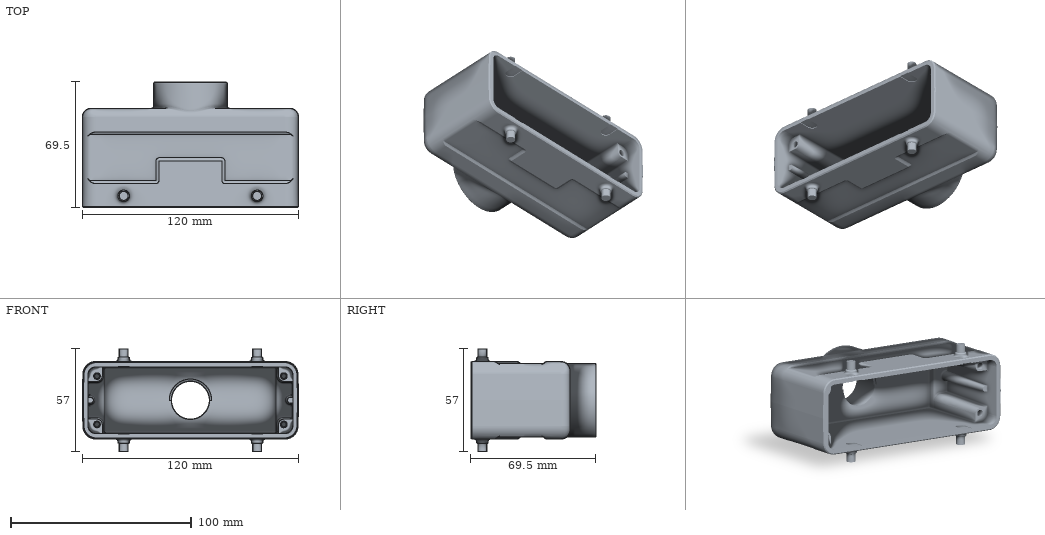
import cadquery as cq
import math

LENGTH = 120.0
HEIGHT = 43.0
DEPTH = 55.0
END_CROWN = 0.5
CORNER_RADIUS = 7.3
BACK_RADIUS = 5.0
MOUTH_CHAMFER = 0.6
WALL = 3.0

CAVITY_LENGTH = 113.7
CAVITY_HEIGHT = HEIGHT - 2 * WALL
CAVITY_DEPTH = DEPTH - WALL
CAVITY_RADIUS = 4.5
CAVITY_DRAFT = 0.5
FLOOR_RADIUS = 0.9

LEDGE_X = 47.9
LEDGE_HEIGHT = 4.0
LEDGE_Y = CAVITY_DEPTH - LEDGE_HEIGHT
LEDGE_RUN = 0.6
LEDGE_EDGE_RADIUS = 1.1
LEDGE_ROOT_RADIUS = 0.8

POST_FRONT = 9.0
POST_X = 51.8
POST_Z = 13.4
POST_RADIUS = 2.9
POST_ROOT_RADIUS = 0.9
POST_DRAFT = 1.5
SCREW_MOUTH_DIAMETER = 3.7
SCREW_BOTTOM_DIAMETER = 2.7
SCREW_HOLE_DEPTH = 15.0
RIB_FRONT = POST_FRONT
RIB_RADIUS = 1.6
RIB_X = 55.4

ENTRY_DIAMETER = 41.0
ENTRY_END = 69.5
ENTRY_EDGE_RADIUS = 1.0
ENTRY_ROOT_RADIUS = 1.0
BORE_DIAMETER = 21.0
RECESS_DIAMETER = 23.5
RECESS_DEPTH = 1.0

PIN_SPAN = 57.0
PIN_X = 37.0
PIN_Y = 6.4
PIN_DIAMETER = 5.0
COLLAR_DIAMETER = 6.4
COLLAR_HEIGHT = 2.4
FLARE_RADIUS = 1.4
PIN_ROOT = 1.0
RELIEF_WIDTH = 5.8
RELIEF_DEPTH = 0.3

PANEL_DEPTH = 1.0
PANEL_FRONT = 14.9
PANEL_BACK = 40.4
PANEL_BACK_RUN = 1.4
PANEL_SLOPE = 60.0
TAB_HALF_WIDTH = 19.1
TAB_END = 27.6
TAB_TIP_RADIUS = 2.0
TAB_FOOT_RADIUS = 0.3
PANEL_END_RADIUS = 2.7

OVERCUT = 2.0
PICK = 1.0
FINE_PICK = 0.1


def section_plane(y):
    """Workplane at depth y, extruding toward +Y, with local axes along X and -Z."""
    return cq.Workplane(cq.Plane(origin=(0, y, 0), xDir=(1, 0, 0), normal=(0, 1, 0)))


def near(x, y, z):
    return cq.selectors.NearestToPointSelector((x, y, z))


def both_ends(body):
    return body.union(body.mirror("YZ"))


def both_sides(body):
    return body.union(body.mirror("XY"))


def make_shell():
    ridge = LENGTH / 2
    corner = ridge - END_CROWN
    side = HEIGHT / 2
    outline = [(ridge, 0), (corner, side), (-corner, side), (-ridge, 0), (-corner, -side), (corner, -side)]
    shell = section_plane(0).polyline(outline).close().extrude(DEPTH)
    shell = shell.faces(">Z or <Z").edges("|Y").fillet(CORNER_RADIUS)
    shell = shell.faces(">Y").edges().fillet(BACK_RADIUS)
    return shell.faces("<Y").edges().chamfer(MOUTH_CHAMFER)


def add_entry(shell):
    entry = section_plane(CAVITY_DEPTH).circle(ENTRY_DIAMETER / 2).extrude(ENTRY_END - CAVITY_DEPTH)
    hood = shell.union(entry)
    reach = ENTRY_DIAMETER / 2 + PICK
    root = cq.selectors.BoxSelector((-reach, DEPTH - BACK_RADIUS, -reach), (reach, DEPTH + PICK, reach))
    hood = hood.edges(root).edges("not(|X)").fillet(ENTRY_ROOT_RADIUS)
    return hood.faces(">Y").edges().fillet(ENTRY_EDGE_RADIUS)


def make_ledge():
    """Ledge at the +X end, its inner side sloping to the cavity floor."""
    profile = [
        (LEDGE_X, LEDGE_Y),
        (LENGTH / 2, LEDGE_Y),
        (LENGTH / 2, DEPTH),
        (LEDGE_X - LEDGE_RUN * (DEPTH - LEDGE_Y) / LEDGE_HEIGHT, DEPTH),
    ]
    ledge = cq.Workplane("XY").polyline(profile).close().extrude(HEIGHT / 2, both=True)
    return ledge.edges(near(LEDGE_X, LEDGE_Y, 0)).fillet(LEDGE_EDGE_RADIUS)


def make_posts():
    """Pair of posts at the +X end, each with one rounded free corner."""
    inner_x = POST_X - POST_RADIUS
    inner_z = POST_Z - POST_RADIUS
    middle = POST_RADIUS * math.sqrt(0.5)
    post = (
        section_plane(POST_FRONT)
        .moveTo(inner_x, HEIGHT / 2)
        .lineTo(inner_x, POST_Z)
        .threePointArc((POST_X - middle, POST_Z - middle), (POST_X, inner_z))
        .lineTo(LENGTH / 2, inner_z)
        .lineTo(LENGTH / 2, HEIGHT / 2)
        .close()
        .extrude(DEPTH - POST_FRONT, taper=-POST_DRAFT)
    )
    return both_sides(post)


def make_rib():
    """Rib on the +X end wall, with a rounded inner edge."""
    return (
        section_plane(RIB_FRONT)
        .moveTo(LENGTH / 2, RIB_RADIUS)
        .lineTo(RIB_X, RIB_RADIUS)
        .threePointArc((RIB_X - RIB_RADIUS, 0), (RIB_X, -RIB_RADIUS))
        .lineTo(LENGTH / 2, -RIB_RADIUS)
        .close()
        .extrude(DEPTH - RIB_FRONT, taper=-POST_DRAFT)
    )


def round_post_roots(cavity):
    """Fillets where the posts meet the long walls and the end walls."""
    middle_y = (POST_FRONT + LEDGE_Y) / 2
    for end in (1, -1):
        for side in (1, -1):
            long_wall_root = near(end * (POST_X - POST_RADIUS), middle_y, side * CAVITY_HEIGHT / 2)
            end_wall_root = near(end * CAVITY_LENGTH / 2, middle_y, side * (POST_Z - POST_RADIUS))
            roots = cq.selectors.SumSelector(long_wall_root, end_wall_root)
            cavity = cavity.edges(roots).fillet(POST_ROOT_RADIUS)
    return cavity


def round_ledge_roots(cavity):
    """Fillets around each ledge, where posts, rib and end wall rise from it."""
    for end in (1, -1):
        inner = end * (LEDGE_X + LEDGE_EDGE_RADIUS)
        outer = end * LENGTH / 2
        roots = cq.selectors.BoxSelector(
            (inner, LEDGE_Y - FINE_PICK, -HEIGHT), (outer, LEDGE_Y + FINE_PICK, HEIGHT)
        )
        cavity = cavity.edges(roots).fillet(LEDGE_ROOT_RADIUS)
    return cavity


def make_cavity():
    """Hollow of the hood, with the ledges, posts and ribs left standing."""
    section = cq.Sketch().rect(CAVITY_LENGTH, CAVITY_HEIGHT).vertices().fillet(CAVITY_RADIUS)
    cavity = section_plane(0).placeSketch(section).extrude(CAVITY_DEPTH, taper=CAVITY_DRAFT)
    for standing in (make_ledge(), make_posts(), make_rib()):
        cavity = cavity.cut(both_ends(standing))
    cavity = round_ledge_roots(round_post_roots(cavity))
    return cavity.faces(near(0, CAVITY_DEPTH, 0)).edges().fillet(FLOOR_RADIUS)


def cut_screw_holes(hood):
    """Blind tapered hole in each post."""
    profile = [
        (0, 0),
        (SCREW_MOUTH_DIAMETER / 2, 0),
        (SCREW_BOTTOM_DIAMETER / 2, SCREW_HOLE_DEPTH),
        (0, SCREW_HOLE_DEPTH),
    ]
    hole = cq.Workplane("XY").polyline(profile).close().revolve(360, (0, 0), (0, 1))
    hole = hole.translate((POST_X, POST_FRONT, POST_Z))
    return hood.cut(both_sides(both_ends(hole)))


def cut_bore(hood):
    """Round bore through the back, with a half-round recess above it in the cavity floor."""
    bore = section_plane(0).circle(BORE_DIAMETER / 2).extrude(ENTRY_END + OVERCUT)
    radius = RECESS_DIAMETER / 2
    recess = (
        section_plane(CAVITY_DEPTH - OVERCUT)
        .moveTo(-radius, 0)
        .threePointArc((0, -radius), (radius, 0))
        .close()
        .extrude(OVERCUT + RECESS_DEPTH)
    )
    return hood.cut(bore).cut(recess)


def make_pins():
    """Four pins, each with a rounded collar flaring into the side wall."""
    pin_radius = PIN_DIAMETER / 2
    collar_radius = COLLAR_DIAMETER / 2
    round_radius = collar_radius - pin_radius
    flare_middle = FLARE_RADIUS * (1 - math.sqrt(0.5))
    round_middle = round_radius * math.sqrt(0.5)
    surface = HEIGHT / 2
    round_start = surface + COLLAR_HEIGHT - round_radius
    pin = (
        cq.Workplane("XZ")
        .moveTo(0, surface - PIN_ROOT)
        .lineTo(collar_radius + FLARE_RADIUS, surface - PIN_ROOT)
        .lineTo(collar_radius + FLARE_RADIUS, surface)
        .threePointArc(
            (collar_radius + flare_middle, surface + flare_middle),
            (collar_radius, surface + FLARE_RADIUS),
        )
        .lineTo(collar_radius, round_start)
        .threePointArc(
            (pin_radius + round_middle, round_start + round_middle),
            (pin_radius, surface + COLLAR_HEIGHT),
        )
        .lineTo(pin_radius, PIN_SPAN / 2)
        .lineTo(0, PIN_SPAN / 2)
        .close()
        .revolve(360, (0, 0), (0, 1))
        .translate((PIN_X, PIN_Y, 0))
    )
    return both_sides(both_ends(pin))


def make_reliefs():
    """Round-ended slots in the inside walls, running from the mouth to the pins."""
    plane = cq.Workplane("XY").workplane(offset=CAVITY_HEIGHT / 2 - OVERCUT)
    height = OVERCUT + RELIEF_DEPTH
    slot = plane.center(PIN_X, PIN_Y).circle(RELIEF_WIDTH / 2).extrude(height)
    slot = slot.union(plane.center(PIN_X, 0).rect(RELIEF_WIDTH, 2 * PIN_Y).extrude(height))
    return both_sides(both_ends(slot))


def make_panels():
    """Cutting bodies for the recessed panels around a raised tab."""
    floor = HEIGHT / 2 - PANEL_DEPTH
    end = LENGTH / 2 + OVERCUT
    back = PANEL_BACK + 2 * OVERCUT
    outline = [
        (-end, back),
        (-end, PANEL_FRONT),
        (-TAB_HALF_WIDTH, PANEL_FRONT),
        (-TAB_HALF_WIDTH, TAB_END),
        (TAB_HALF_WIDTH, TAB_END),
        (TAB_HALF_WIDTH, PANEL_FRONT),
        (end, PANEL_FRONT),
        (end, back),
    ]
    base = cq.Workplane("XY").polyline(outline).close().extrude(PANEL_DEPTH)
    tip = cq.selectors.BoxSelector((-end, TAB_END - PICK, -PICK), (end, TAB_END + PICK, HEIGHT))
    foot = cq.selectors.BoxSelector(
        (-TAB_HALF_WIDTH - PICK, PANEL_FRONT - PICK, -PICK),
        (TAB_HALF_WIDTH + PICK, PANEL_FRONT + PICK, HEIGHT),
    )
    base = base.edges("|Z").edges(tip).fillet(TAB_TIP_RADIUS)
    base = base.edges("|Z").edges(foot).fillet(TAB_FOOT_RADIUS)
    floor_wire = base.faces("<Z").wires().val().translate(cq.Vector(0, 0, floor))
    panel = cq.Workplane("XY").workplane(offset=floor).add(floor_wire).toPending()
    panel = panel.extrude(PANEL_DEPTH, taper=-PANEL_SLOPE)
    back_slope = (
        cq.Workplane("YZ")
        .polyline([
            (0, floor),
            (PANEL_BACK, floor),
            (PANEL_BACK + PANEL_BACK_RUN, floor + PANEL_DEPTH),
            (0, floor + PANEL_DEPTH),
        ])
        .close()
        .extrude(2 * end, both=True)
    )
    return both_sides(panel.intersect(back_slope))


def cut_panels(hood):
    """Recess both panels and round their floors into the hood's corners."""
    hood = hood.cut(make_panels())
    level = HEIGHT / 2 - PANEL_DEPTH
    arc_rise = CORNER_RADIUS - PANEL_DEPTH
    rim_x = LENGTH / 2 - END_CROWN - CORNER_RADIUS + math.sqrt(CORNER_RADIUS**2 - arc_rise**2)
    for end in (1, -1):
        for side in (1, -1):
            rim = near(end * rim_x, (PANEL_FRONT + PANEL_BACK) / 2, side * level)
            hood = hood.edges(rim).fillet(PANEL_END_RADIUS)
    return hood


hood = add_entry(make_shell())
hood = cut_panels(hood)
hood = hood.union(make_pins())
hood = hood.cut(make_cavity())
hood = hood.cut(make_reliefs())
hood = cut_bore(hood)
result = cut_screw_holes(hood)